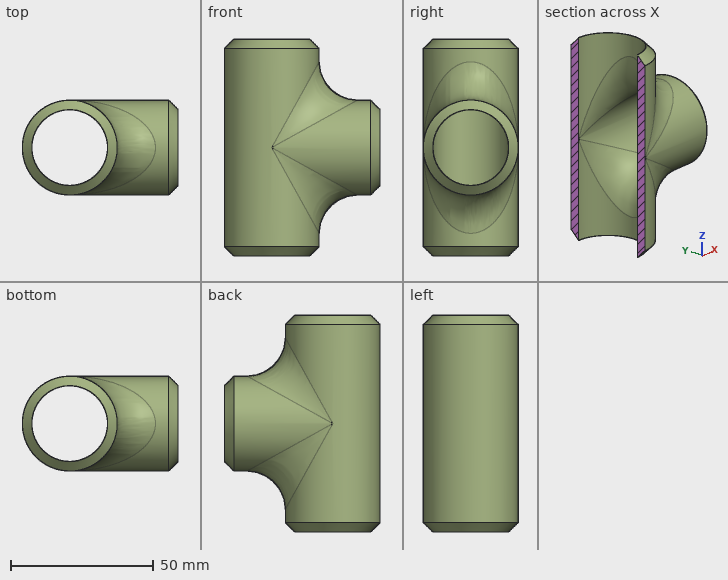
import cadquery as cq
import math

run_length = 76.2
branch_reach = 38.1
outer_radius = 16.7
wall = 3.4
rim_land = 0.1
bore_radius = outer_radius - wall
bevel = wall - rim_land

crotch_arc_centre = 30.1
section_count = 7
section_half_sweep = 89.0


def blend_reach(angle, pipe_radius):
    """Distance from the tee centre to the tangent arc joining run and branch at Y = 0."""
    direction = math.radians(angle)
    arc_radius = crotch_arc_centre - pipe_radius
    along = crotch_arc_centre * (math.cos(direction) + math.sin(direction))
    across = crotch_arc_centre * (math.cos(direction) - math.sin(direction))
    return along - math.sqrt(max(arc_radius**2 - across**2, 0))


def blend_section(angle, pipe_radius):
    """Half ellipse in the plane through the Y axis at the given direction."""
    direction = math.radians(angle)
    reach = blend_reach(angle, pipe_radius)

    def point(sweep_degrees):
        sweep = math.radians(sweep_degrees)
        radial = reach * math.cos(sweep)
        return cq.Vector(
            radial * math.cos(direction),
            pipe_radius * math.sin(sweep),
            radial * math.sin(direction),
        )

    curve = cq.Edge.makeEllipse(
        reach,
        pipe_radius,
        cq.Vector(0, 0, 0),
        cq.Vector(-math.sin(direction), 0, math.cos(direction)),
        cq.Vector(math.cos(direction), 0, math.sin(direction)),
        -section_half_sweep,
        section_half_sweep,
    )
    chord = cq.Edge.makeLine(point(section_half_sweep), point(-section_half_sweep))
    return cq.Wire.assembleEdges([curve, chord])


def crotch_blend(pipe_radius):
    """Wedge filling the upper corner between run and branch."""
    branch_side_angle = math.degrees(math.atan2(pipe_radius, crotch_arc_centre))
    run_side_angle = 90 - branch_side_angle
    step = (run_side_angle - branch_side_angle) / (section_count - 1)
    angles = [branch_side_angle + i * step for i in range(section_count)]
    sections = [blend_section(angle, pipe_radius) for angle in angles]
    return cq.Workplane(cq.Solid.makeLoft(sections))


def tee(pipe_radius, end_bevel=0):
    """Solid tee of one radius, with bevelled ends when end_bevel is given."""
    run = cq.Workplane("XY").circle(pipe_radius).extrude(run_length / 2, both=True)
    branch = cq.Workplane("YZ").circle(pipe_radius).extrude(branch_reach)
    if end_bevel:
        run = run.faces("|Z").chamfer(end_bevel)
        branch = branch.faces(">X").chamfer(end_bevel)
    upper_blend = crotch_blend(pipe_radius)
    lower_blend = upper_blend.mirror("XY")
    return run.union(branch).union(upper_blend).union(lower_blend)


result = tee(outer_radius, bevel).cut(tee(bore_radius))